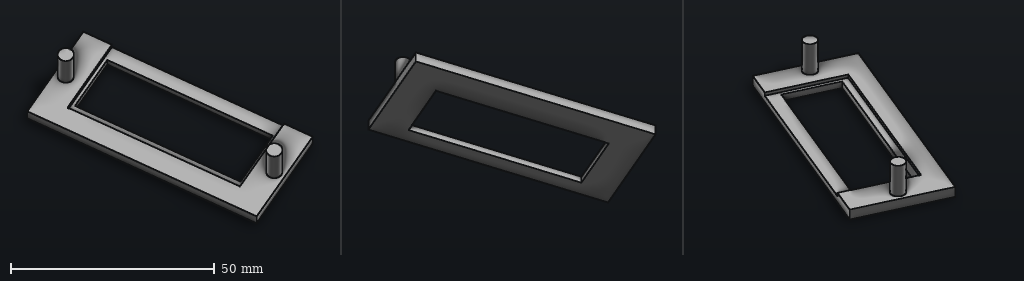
import cadquery as cq

plate_length = 65.0
plate_width = 28.0
plate_thickness = 3.0
total_height = 12.0

recess_side_margin = 8.1
recess_front_margin = 5.9
recess_depth = 1.0

ledge_side = 1.0
ledge_front = 2.0
ledge_back = 4.0

pin_diameter = 4.0
pin_end_margin = 3.0

recess_length = plate_length - 2 * recess_side_margin
recess_width = plate_width - recess_front_margin
recess_front = -plate_width / 2 + recess_front_margin
recess_floor = plate_thickness - recess_depth
window_length = recess_length - 2 * ledge_side
window_width = recess_width - ledge_front - ledge_back
window_front = recess_front + ledge_front
pin_x = plate_length / 2 - pin_end_margin


def block(length, width, height, front, bottom):
    """Box centred on X, starting at the given front Y and bottom Z."""
    return cq.Workplane("XY").box(length, width, height, centered=(True, False, False)).translate(
        (0, front, bottom)
    )


plate = block(plate_length, plate_width, plate_thickness, -plate_width / 2, 0)
recess = block(recess_length, recess_width, recess_depth, recess_front, recess_floor)
window = block(window_length, window_width, plate_thickness, window_front, 0)

pins = (
    cq.Workplane("XY")
    .pushPoints([(-pin_x, 0), (pin_x, 0)])
    .circle(pin_diameter / 2)
    .extrude(total_height)
)

result = plate.cut(recess).cut(window).union(pins)